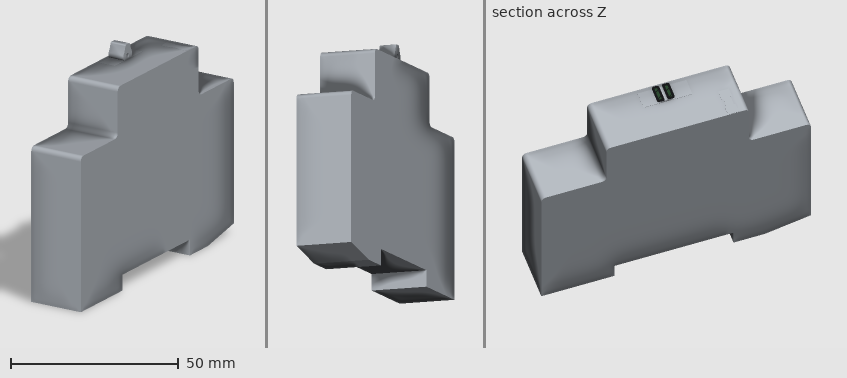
import cadquery as cq
import math


width = 17.5
length = 85.0
back = length / 2
front = -length / 2
split_height = 34.1
shoulder_height = 49.0
head_height = 65.0
head_length = 45.0
back_shoulder_length = 19.5
edge_radius = 1.5

rail_depth = 5.0
rail_length = 37.5
rail_front_foot_length = 23.1
slope_height = 2.9
slope_length = 14.5

raised_height = 0.1
raised_top = head_height + raised_height

lever_seat_left = -width / 2 + 1.25
lever_seat_width = 5.5
lever_seat_front = -6.55
lever_seat_length = 15.4

label_left = -width / 2 + 8.4
label_section = 3.0
label_front = 16.4
label_length = 3.4
label_waist_inset = 0.5

lever_left = -width / 2 + 1.5
lever_right = lever_seat_left + lever_seat_width
lever_y = 0.5
lever_top = 69.95
foot_half_width = 2.5
foot_radius = 1.25
flank_radius = 10.0
flank_start_angle = 30.0
tip_radius = 0.5
pin_hole_diameter = 1.5


def make_block(left, near, bottom, size_x, size_y, size_z):
    """Axis-aligned block given by its lowest corner and its sizes."""
    block = cq.Workplane("XY").box(size_x, size_y, size_z, centered=False)
    return block.translate((left, near, bottom))


def side_sketch():
    """YZ workplane on the -X side of the housing."""
    return cq.Workplane("YZ", origin=(-width / 2, 0, 0))


def make_lower_housing():
    notch_front = front + rail_front_foot_length
    notch_back = notch_front + rail_length
    outline = [
        (front, 0),
        (notch_front, 0),
        (notch_front, rail_depth),
        (notch_back, rail_depth),
        (notch_back, 0),
        (back - slope_length, 0),
        (back, slope_height),
        (back, split_height),
        (front, split_height),
    ]
    return side_sketch().polyline(outline).close().extrude(width)


def make_upper_housing():
    head_back = back - back_shoulder_length
    head_front = head_back - head_length
    outline = [
        (front, split_height),
        (back, split_height),
        (back, shoulder_height),
        (head_back, shoulder_height),
        (head_back, head_height),
        (head_front, head_height),
        (head_front, shoulder_height),
        (front, shoulder_height),
    ]
    body = side_sketch().polyline(outline).close().extrude(width)
    upper_edges = cq.selectors.BoxSelector(
        (-width, 2 * front, split_height + edge_radius),
        (width, 2 * back, head_height + edge_radius),
    )
    body = body.edges("|X").edges(upper_edges).fillet(edge_radius)
    return body.union(make_lever_seat()).union(make_label())


def make_lever_seat():
    """Thin raised rectangle under the lever."""
    return make_block(
        lever_seat_left, lever_seat_front, head_height,
        lever_seat_width, lever_seat_length, raised_height,
    )


def make_label():
    """Thin raised label: two full-length end sections joined by a narrower waist."""
    label = make_block(
        label_left, label_front + label_waist_inset, head_height,
        3 * label_section, label_length - 2 * label_waist_inset, raised_height,
    )
    for section in (0, 2):
        end = make_block(
            label_left + section * label_section, label_front, head_height,
            label_section, label_length, raised_height,
        )
        label = label.union(end)
    return label


def point_on_circle(center, radius, angle):
    """Point at an angle in degrees from the first axis."""
    turn = math.radians(angle)
    return (center[0] + radius * math.cos(turn), center[1] + radius * math.sin(turn))


def make_lever():
    """Symmetric toggle: two round foot lobes, concave flanks and a rounded tip, all tangent."""
    pin_height = raised_top + foot_radius
    lobe = (foot_half_width - foot_radius, pin_height)
    flank = point_on_circle(lobe, foot_radius + flank_radius, flank_start_angle)
    tip_height = lever_top - tip_radius
    flank_end_angle = math.degrees(math.asin((flank[1] - tip_height) / (flank_radius + tip_radius)))
    tip = point_on_circle(flank, flank_radius + tip_radius, 180 + flank_end_angle)

    foot_bottom = (lobe[0], raised_top)
    foot_side = point_on_circle(lobe, foot_radius, 0)
    flank_start = point_on_circle(lobe, foot_radius, flank_start_angle)
    flank_middle = point_on_circle(flank, flank_radius, 180 + (flank_start_angle + flank_end_angle) / 2)
    flank_end = point_on_circle(flank, flank_radius, 180 + flank_end_angle)
    tip_middle = point_on_circle(tip, tip_radius, (90 + flank_end_angle) / 2)
    tip_end = (tip[0], lever_top)

    def mirrored(point):
        return (-point[0], point[1])

    lever = (
        cq.Workplane("YZ", origin=(lever_left, lever_y, 0))
        .moveTo(*mirrored(foot_bottom))
        .lineTo(*foot_bottom)
        .threePointArc(foot_side, flank_start)
        .threePointArc(flank_middle, flank_end)
        .threePointArc(tip_middle, tip_end)
        .lineTo(*mirrored(tip_end))
        .threePointArc(mirrored(tip_middle), mirrored(flank_end))
        .threePointArc(mirrored(flank_middle), mirrored(flank_start))
        .threePointArc(mirrored(foot_side), mirrored(foot_bottom))
        .close()
        .extrude(lever_right - lever_left)
    )
    pin_hole = (
        cq.Workplane("YZ", origin=(lever_left, lever_y, pin_height))
        .circle(pin_hole_diameter / 2)
        .extrude(lever_right - lever_left)
    )
    return lever.cut(pin_hole)


lower_housing = make_lower_housing()
upper_housing = make_upper_housing()
lever = make_lever()

result = cq.Compound.makeCompound([lower_housing.val(), upper_housing.val(), lever.val()])